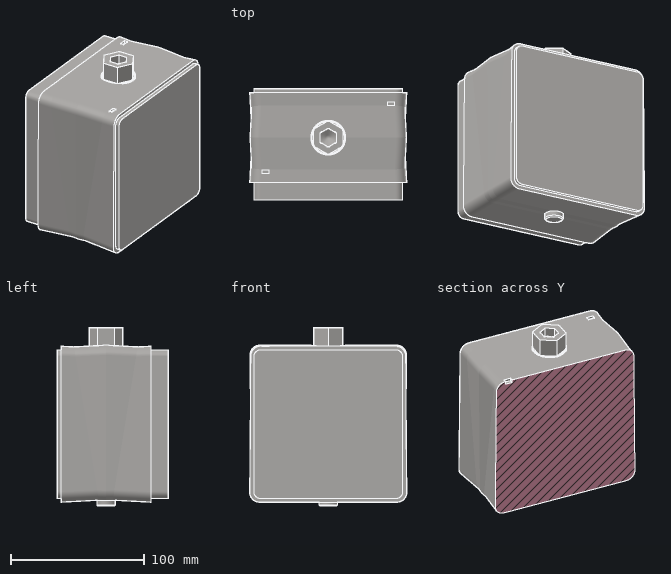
import cadquery as cq
import math

TOTAL_HEIGHT = 134.0

HOUSING_DEPTH = 67.5
HOUSING_BOTTOM = 3.0
HOUSING_TOP = 120.0
HOUSING_BOTTOM_WIDTH = 118.0
HOUSING_CORNER_RADIUS = 7.5
FACE_DRAFT_ANGLE = 3.0
SIDE_DRAFT_ANGLE = 0.5

TOP_VALLEY_Y = 24.1
BOTTOM_VALLEY_Y = 5.1

PAD_SIZE = 111.5
PAD_CORNER_RADIUS = 5.0
PAD_CENTER_Z = 61.5
FRONT_PAD_THICKNESS = 13.0
BACK_PAD_THICKNESS = 3.0

POCKET_LENGTH = 5.4
POCKET_WIDTH = 2.7
POCKET_DEPTH = 2.7
POCKET_CENTER_X = 47.2

HEX_ACROSS_FLATS = 22.0
HEX_HEIGHT = 13.8
COLLAR_RADIUS = 12.2
SEAT_RADIUS = 13.0
SEAT_DEPTH = 1.0
SHANK_DIAMETER = 14.0
SHANK_CHAMFER = 1.0
SOCKET_ACROSS_FLATS = 12.0
SOCKET_DEPTH = 7.5
SOCKET_DRILL_ANGLE = 118.0

HALF_DEPTH = HOUSING_DEPTH / 2
FACE_SLOPE = math.tan(math.radians(FACE_DRAFT_ANGLE))
SIDE_SLOPE = math.tan(math.radians(SIDE_DRAFT_ANGLE))


def ridge_rise(valley_y):
    """Height of the ridge crest above the flange edge for a valley at valley_y."""
    return (2 * valley_y - HALF_DEPTH) * FACE_SLOPE


RIDGE_TOP = HOUSING_TOP + ridge_rise(TOP_VALLEY_Y)
RIDGE_BOTTOM = HOUSING_BOTTOM - ridge_rise(BOTTOM_VALLEY_Y)
FLANGE_TOP_HALF_WIDTH = HOUSING_BOTTOM_WIDTH / 2 - (HOUSING_TOP - HOUSING_BOTTOM) * SIDE_SLOPE
RIDGE_TOP_HALF_WIDTH = FLANGE_TOP_HALF_WIDTH + ridge_rise(TOP_VALLEY_Y)
RIDGE_BOTTOM_HALF_WIDTH = HOUSING_BOTTOM_WIDTH / 2 + ridge_rise(BOTTOM_VALLEY_Y)

HEX_BASE = TOTAL_HEIGHT - HEX_HEIGHT
SEAT_FLOOR = HEX_BASE - SEAT_DEPTH


def hex_diameter(across_flats):
    """Corner-to-corner size of a hexagon."""
    return across_flats / math.cos(math.pi / 6)


def drafted_half(y, length, bottom, top, bottom_half_width, top_half_width):
    """Trapezoid at depth y, narrowing along -Y (or +Y if length < 0), with rounded long edges."""
    outline = [
        (-bottom_half_width, bottom),
        (bottom_half_width, bottom),
        (top_half_width, top),
        (-top_half_width, top),
    ]
    half = cq.Workplane("XZ", origin=(0, y, 0)).polyline(outline).close()
    half = half.extrude(length, taper=FACE_DRAFT_ANGLE)
    return half.edges("not(#Y)").fillet(HOUSING_CORNER_RADIUS)


def make_shell():
    flange = drafted_half(
        HALF_DEPTH, HALF_DEPTH, HOUSING_BOTTOM, HOUSING_TOP, HOUSING_BOTTOM_WIDTH / 2, FLANGE_TOP_HALF_WIDTH
    )
    ridge = drafted_half(
        0, -HALF_DEPTH, RIDGE_BOTTOM, RIDGE_TOP, RIDGE_BOTTOM_HALF_WIDTH, RIDGE_TOP_HALF_WIDTH
    )
    back_half = flange.union(ridge)
    return back_half.union(back_half.mirror("XZ"))


def make_pad(y_near, y_far):
    return (
        cq.Workplane("XZ", origin=(0, y_far, PAD_CENTER_Z))
        .rect(PAD_SIZE, PAD_SIZE)
        .extrude(y_far - y_near)
        .edges("|Y")
        .fillet(PAD_CORNER_RADIUS)
    )


def make_pocket(side):
    """Pocket just outside the top valley; side +1 is back right, -1 is front left."""
    pocket_y = TOP_VALLEY_Y + POCKET_WIDTH / 2
    return cq.Workplane("XY", origin=(side * POCKET_CENTER_X, side * pocket_y, HOUSING_TOP)).box(
        POCKET_LENGTH, POCKET_WIDTH, 2 * POCKET_DEPTH
    )


def make_housing():
    housing = make_shell()
    housing = housing.union(make_pad(-HALF_DEPTH - FRONT_PAD_THICKNESS, -HALF_DEPTH))
    housing = housing.union(make_pad(HALF_DEPTH, HALF_DEPTH + BACK_PAD_THICKNESS))
    for side in (1, -1):
        housing = housing.cut(make_pocket(side))
    shank_hole = cq.Workplane("XY").circle(SHANK_DIAMETER / 2).extrude(TOTAL_HEIGHT)
    seat = cq.Workplane("XY", origin=(0, 0, SEAT_FLOOR)).circle(SEAT_RADIUS).extrude(HEX_HEIGHT)
    return housing.cut(shank_hole).cut(seat)


def make_socket():
    """Hexagonal socket with a conical drill-point floor."""
    diameter = hex_diameter(SOCKET_ACROSS_FLATS)
    cone_depth = diameter / 2 / math.tan(math.radians(SOCKET_DRILL_ANGLE / 2))
    hexagon = (
        cq.Workplane("XY", origin=(0, 0, TOTAL_HEIGHT))
        .transformed(rotate=(0, 0, 90))
        .polygon(6, diameter)
        .extrude(-SOCKET_DEPTH)
    )
    cone = cq.Solid.makeCone(
        diameter / 2,
        0,
        cone_depth,
        pnt=cq.Vector(0, 0, TOTAL_HEIGHT - SOCKET_DEPTH),
        dir=cq.Vector(0, 0, -1),
    )
    return hexagon.union(cq.Workplane(cone))


def make_bolt():
    shank = cq.Workplane("XY").circle(SHANK_DIAMETER / 2).extrude(SEAT_FLOOR)
    shank = shank.faces("<Z").chamfer(SHANK_CHAMFER)
    collar = cq.Workplane("XY", origin=(0, 0, SEAT_FLOOR)).circle(COLLAR_RADIUS).extrude(SEAT_DEPTH)
    head = (
        cq.Workplane("XY", origin=(0, 0, HEX_BASE))
        .transformed(rotate=(0, 0, 90))
        .polygon(6, hex_diameter(HEX_ACROSS_FLATS))
        .extrude(HEX_HEIGHT)
    )
    return shank.union(collar).union(head).cut(make_socket())


housing = make_housing()
bolt = make_bolt()
result = cq.Compound.makeCompound([housing.val(), bolt.val()])